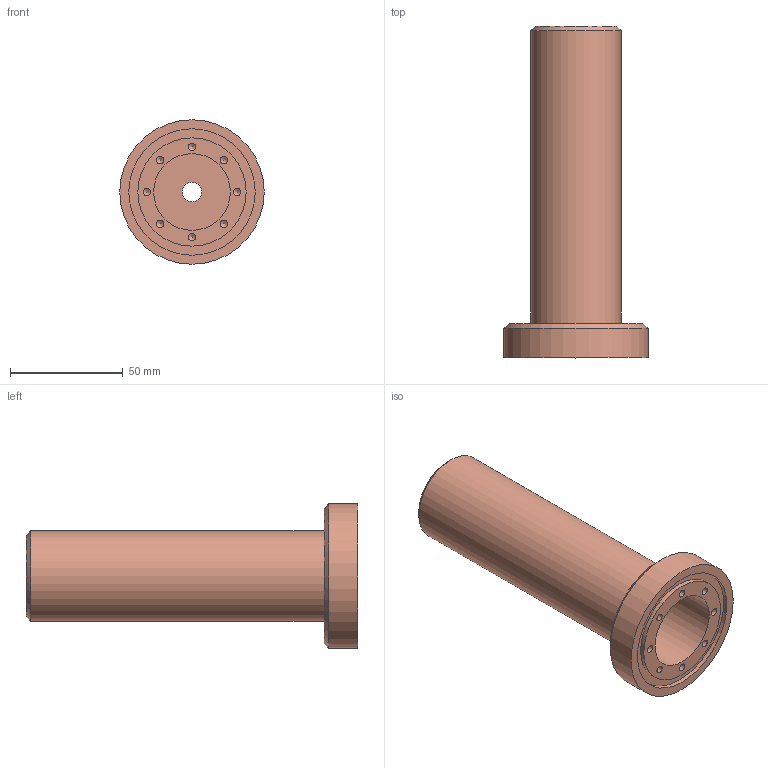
import cadquery as cq
import math

total_length = 147.0
flange_diameter = 64.0
flange_thickness = 15.0
shaft_diameter = 40.0
edge_chamfer = 2.0

bore_diameter = 34.0
end_wall = 10.0
end_hole_diameter = 8.5

groove_outer_diameter = 56.0
groove_inner_diameter = 48.0
groove_depth = 2.0

bolt_hole_count = 8
bolt_circle_diameter = 40.0
bolt_hole_diameter = 3.3
bolt_hole_depth = 10.0
drill_point_angle = 118.0


def cylinder(diameter, start, length):
    """Cylinder on the Y axis, running from Y = start toward +Y."""
    workplane = cq.Workplane("XZ", origin=(0, start, 0))
    return workplane.circle(diameter / 2).extrude(-length)


def make_body():
    flange = cylinder(flange_diameter, 0, flange_thickness)
    flange = flange.faces(">Y").edges().chamfer(edge_chamfer)
    shaft = cylinder(shaft_diameter, 0, total_length)
    shaft = shaft.faces(">Y").edges().chamfer(edge_chamfer)
    return flange.union(shaft)


def make_bore():
    """Blind bore from the flange face, with a smaller hole through the end wall."""
    bore = cylinder(bore_diameter, 0, total_length - end_wall)
    end_hole = cylinder(end_hole_diameter, 0, total_length)
    return bore.union(end_hole)


def make_groove():
    """Ring groove in the flange face."""
    outer = cylinder(groove_outer_diameter, 0, groove_depth)
    return outer.cut(cylinder(groove_inner_diameter, 0, groove_depth))


def make_bolt_hole():
    """Blind drilled hole with a conical bottom, at the +X point of the bolt circle."""
    radius = bolt_hole_diameter / 2
    point_length = radius / math.tan(math.radians(drill_point_angle / 2))
    profile = (
        cq.Workplane("XY")
        .lineTo(radius, 0)
        .lineTo(radius, bolt_hole_depth)
        .lineTo(0, bolt_hole_depth + point_length)
        .close()
    )
    drill = profile.revolve(360, (0, 0, 0), (0, 1, 0))
    return drill.translate((bolt_circle_diameter / 2, 0, 0))


result = make_body().cut(make_bore()).cut(make_groove())
bolt_hole = make_bolt_hole()
for index in range(bolt_hole_count):
    angle = index * 360 / bolt_hole_count
    result = result.cut(bolt_hole.rotate((0, 0, 0), (0, 1, 0), angle))